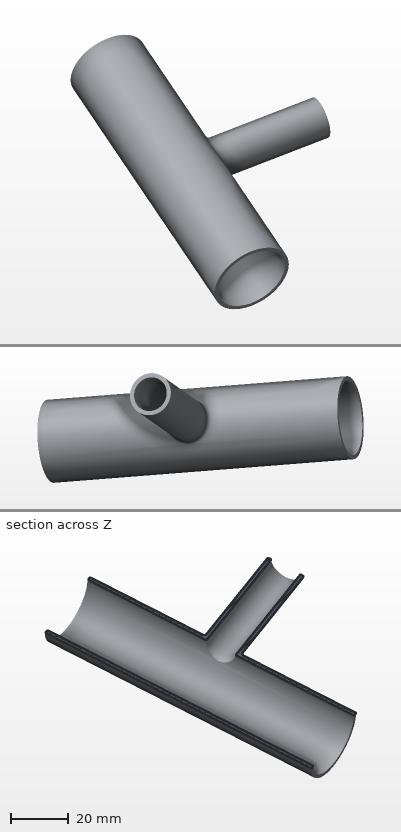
import cadquery as cq

HEADER_LENGTH = 110.0
HEADER_OUTER_DIAMETER = 29.0
BRANCH_REACH = 55.0
BRANCH_OUTER_DIAMETER = 15.0
WALL = 1.5
JUNCTION_FILLET = 1.0

HEADER_BORE = HEADER_OUTER_DIAMETER - 2 * WALL
BRANCH_BORE = BRANCH_OUTER_DIAMETER - 2 * WALL


def header_cylinder(diameter):
    """Cylinder along X over the full header length."""
    return cq.Workplane("YZ").circle(diameter / 2).extrude(HEADER_LENGTH / 2, both=True)


def branch_cylinder(diameter):
    """Cylinder from the header axis out to the branch end along +Y."""
    return cq.Workplane("XZ").circle(diameter / 2).extrude(-BRANCH_REACH)


def outer_body():
    """Solid tee with the seam between header and branch rounded."""
    tee = header_cylinder(HEADER_OUTER_DIAMETER).union(branch_cylinder(BRANCH_OUTER_DIAMETER))
    half_width = BRANCH_OUTER_DIAMETER / 2 + WALL
    seam = cq.selectors.BoxSelector(
        (-half_width, 0, -half_width),
        (half_width, HEADER_OUTER_DIAMETER / 2 + WALL, half_width),
    )
    return tee.edges(seam).fillet(JUNCTION_FILLET)


bores = header_cylinder(HEADER_BORE).union(branch_cylinder(BRANCH_BORE))
result = outer_body().cut(bores)